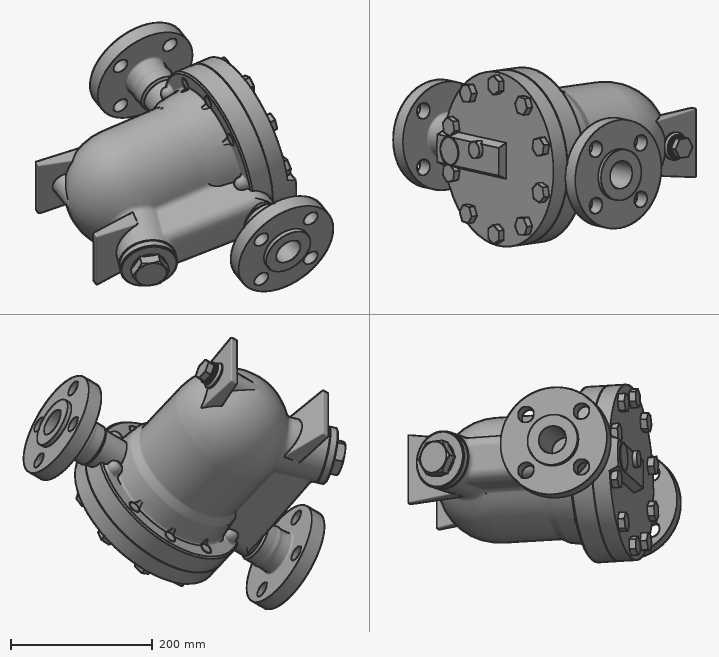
import cadquery as cq
import math


body_radius = 89.0
dome_center_y = -135.0
neck_top_radius = 99.5
neck_mid_radius = 96.8
neck_mid_y = -24.5
shoulder_start_radius = 95.8
shoulder_start_y = -31.3
shoulder_end_radius = 94.6
shoulder_end_y = -36.6
shoulder_round = 12.0
shoulder_foot_offset = 0.5
shoulder_foot_y = -47.0
shoulder_foot_fillet = 4.5
neck_end_y = -49.2
neck_fillet = 3.5

rim_radius = 125.0
flange_bottom_y = -1.5
joint_y = 31.5
cover_top_y = 57.5
rim_round = 2.5
joint_groove_width = 0.6
joint_groove_depth = 0.4

bolt_count = 10
bolt_circle_radius = 107.5
bolt_pitch = 360.0 / bolt_count
first_bolt_angle = bolt_pitch / 2
bolt_hole_diameter = 18.0
bolt_diameter = 16.0
bolt_head_flats = 24.0
bolt_head_height = 9.8
bolt_notch_end_y = -20.0
nut_boss_radius = 11.1
nut_boss_foot_fillet = 3.5
nut_boss_dome_y = -7.0
nut_boss_dome_round = 9.5

passage_left_x = -17.0
passage_top_y = 70.5
passage_top_half_width = 20.0
passage_base_half_width = 26.0
label_diameter = 40.0
label_x = 95.0
label_top_y = 72.0
cover_boss_diameter = 24.0
cover_boss_x = 32.0
cover_boss_z = 11.0
cover_boss_top_y = 77.0

pipe_mid_x = 7.5
pipe_half_length = 429.0 / 2
pipe_radius = 56.0 / 2
hub_radius = 62.0 / 2
hub_start = 140.5
hub_chamfer = 3.5
weld_start = 159.5
weld_end = 168.0
weld_height = 0.8
hub_taper_start = 172.5
hub_taper_rise = 1.0
flange_fillet = 3.0
flange_start = 185.5
flange_end = 208.0
pipe_flange_radius = 156.0 / 2
raised_face_radius = 73.0 / 2
bore_diameter = 40.0
bore_depth = pipe_half_length - hub_start
flange_hole_diameter = 23.0
flange_hole_count = 4
flange_hole_circle_radius = 57.5

web_half_width = 33.0
web_crown_y = -8.0
web_end_x = 147.5
web_lean = 2.2
web_low_y = -160.0
web_fillet = 7.0
shell_fillet = 10.0
seam_tolerance = 0.001
web_round = 16.0

chamber_tilt = 20.0
chamber_axis_y = -131.5
chamber_radius = 41.0
chamber_length = 143.5
holder_neck_radius = 40.2
holder_start = chamber_length + 1.0
holder_end = 156.0
holder_chamfer = 1.5
plug_flats = 46.0
plug_end = 172.0
plug_collar_radius = 49.5 / 2
plug_collar_height = 1.5
plug_face_radius = 22.5

foot_bottom_y = -244.0
foot_top_y = -165.0
foot_half_width_bottom = 50.0
foot_half_width_top = 39.0
foot_thickness_bottom = 10.5
foot_taper = 11.7
foot_round = 2.0
inlet_foot_x = -71.5
outlet_foot_x = 100.5

drain_y = -203.8
drain_boss_radius = 20.0
drain_boss_end_x = -73.3
drain_collar_radius = 17.0
drain_collar_end_x = -77.5
drain_washer_radius = 16.0
drain_washer_start_x = -80.5
drain_washer_end_x = -83.4
drain_shank_radius = 14.5
drain_head_flats = 27.0
drain_head_end_x = -93.6


def cylinder_y(radius, y_start, y_end, x=0.0, z=0.0):
    """Cylinder parallel to Y."""
    axis = cq.Vector(0, y_end - y_start, 0)
    solid = cq.Solid.makeCylinder(radius, axis.Length, cq.Vector(x, y_start, z), axis)
    return cq.Workplane(obj=solid)


def cylinder_x(radius, x_start, x_end, y=0.0):
    """Cylinder parallel to X in the plane Z = 0."""
    axis = cq.Vector(x_end - x_start, 0, 0)
    solid = cq.Solid.makeCylinder(radius, axis.Length, cq.Vector(x_start, y, 0), axis)
    return cq.Workplane(obj=solid)


def corner_diameter(flats):
    """Diameter across the corners of a hexagon."""
    return flats / math.cos(math.radians(30))


def join_with_fillet(first, second, radius):
    """Union of two solids with a fillet along the curves where their surfaces meet."""
    joined = first.union(second)
    surfaces = [first.val().Shells()[0], second.val().Shells()[0]]
    seam = []
    for edge in joined.edges().vals():
        middle = cq.Vertex.makeVertex(*edge.positionAt(0.5).toTuple())
        if all(surface.distance(middle) < seam_tolerance for surface in surfaces):
            seam.append(edge)
    return joined.newObject(seam).fillet(radius)


def make_shell():
    """Cylindrical shell with its hemispherical end, joined to the web and the valve chamber."""
    dome_mid = body_radius * math.sqrt(0.5)
    barrel = (
        cq.Workplane("XY")
        .lineTo(body_radius, 0)
        .lineTo(body_radius, dome_center_y)
        .threePointArc((dome_mid, dome_center_y - dome_mid), (0, dome_center_y - body_radius))
        .close()
        .revolve(360, (0, 0, 0), (0, 1, 0))
    )
    side = join_with_fillet(make_web(), make_chamber(), web_fillet)
    shell = join_with_fillet(barrel, side, shell_fillet)
    return shell.union(make_holder())


def make_neck():
    """Neck and bolting flange, turned about Y."""
    profile = (
        cq.Workplane("XY")
        .moveTo(0, joint_y)
        .lineTo(rim_radius, joint_y)
        .lineTo(rim_radius, flange_bottom_y + rim_round)
        .lineTo(rim_radius - rim_round, flange_bottom_y)
        .lineTo(neck_top_radius + neck_fillet, flange_bottom_y)
        .radiusArc((neck_top_radius, flange_bottom_y - neck_fillet), -neck_fillet)
        .lineTo(neck_mid_radius, neck_mid_y)
        .lineTo(shoulder_start_radius, shoulder_start_y)
        .radiusArc((shoulder_end_radius, shoulder_end_y), shoulder_round)
        .lineTo(body_radius + shoulder_foot_offset, shoulder_foot_y)
        .radiusArc((body_radius, neck_end_y), -shoulder_foot_fillet)
        .lineTo(0, neck_end_y)
        .close()
    )
    return profile.revolve(360, (0, 0, 0), (0, 1, 0))


def make_cover():
    """Flat cover with a fine groove marking the joint to the body."""
    cover = cylinder_y(rim_radius, joint_y, cover_top_y)
    groove_bottom = cylinder_y(rim_radius - joint_groove_depth, joint_y - 1, joint_y + joint_groove_width)
    ring = cylinder_y(rim_radius + 1, joint_y, joint_y + joint_groove_width).cut(groove_bottom)
    return cover.cut(ring)


def make_cover_passage():
    """Raised passage, round label seat and boss on the cover."""
    section = [
        (cover_top_y, -passage_base_half_width),
        (passage_top_y, -passage_top_half_width),
        (passage_top_y, passage_top_half_width),
        (cover_top_y, passage_base_half_width),
    ]
    passage = (
        cq.Workplane("YZ", origin=(passage_left_x, 0, 0))
        .polyline(section)
        .close()
        .extrude(rim_radius - passage_left_x)
        .intersect(cylinder_y(rim_radius, 0, passage_top_y))
    )
    label = cylinder_y(label_diameter / 2, cover_top_y, label_top_y, label_x)
    boss = cylinder_y(cover_boss_diameter / 2, cover_top_y, cover_boss_top_y, cover_boss_x, cover_boss_z)
    return passage.union(label).union(boss)


def bolt_positions():
    """Angle, X and Z of each cover bolt."""
    positions = []
    for index in range(bolt_count):
        angle = first_bolt_angle + index * bolt_pitch
        x = bolt_circle_radius * math.cos(math.radians(angle))
        z = bolt_circle_radius * math.sin(math.radians(angle))
        positions.append((angle, x, z))
    return positions


def is_beside_pipe(angle):
    """True for the four bolts next to the pipe ends."""
    return abs(math.cos(math.radians(angle))) > math.cos(math.radians(bolt_pitch))


def make_nut_boss():
    """Round domed boss with a filleted foot, turned about Y."""
    foot_radius = nut_boss_radius + nut_boss_foot_fillet
    dome_end = (nut_boss_radius - nut_boss_dome_round, nut_boss_dome_y - nut_boss_dome_round)
    return (
        cq.Workplane("XY")
        .moveTo(0, 0)
        .lineTo(foot_radius, 0)
        .lineTo(foot_radius, flange_bottom_y)
        .radiusArc((nut_boss_radius, flange_bottom_y - nut_boss_foot_fillet), -nut_boss_foot_fillet)
        .lineTo(nut_boss_radius, nut_boss_dome_y)
        .radiusArc(dome_end, nut_boss_dome_round)
        .lineTo(0, dome_end[1])
        .close()
        .revolve(360, (0, 0, 0), (0, 1, 0))
    )


def add_bolts(part):
    """Bolt heads; the shanks end flush in open holes or under closed round bosses."""
    for angle, x, z in bolt_positions():
        if is_beside_pipe(angle):
            part = part.union(make_nut_boss().translate((x, 0, z)))
        else:
            part = part.cut(cylinder_y(bolt_hole_diameter / 2, joint_y, bolt_notch_end_y, x, z))
            part = part.union(cylinder_y(bolt_diameter / 2, joint_y + 1, flange_bottom_y, x, z))
        head = (
            cq.Workplane("XZ", origin=(0, cover_top_y, 0))
            .polygon(6, corner_diameter(bolt_head_flats))
            .extrude(-bolt_head_height)
            .rotate((0, 0, 0), (0, 1, 0), -angle)
            .translate((x, 0, z))
        )
        part = part.union(head)
    return part


def make_pipe_end():
    """One welded pipe flange, turned about X and pointing to +X from the pipe middle."""
    taper_radius = hub_radius + hub_taper_rise
    weld_mid = (weld_start + weld_end) / 2
    profile = (
        cq.Workplane("XY")
        .moveTo(hub_start, 0)
        .lineTo(hub_start, pipe_radius)
        .lineTo(hub_start + hub_chamfer, hub_radius)
        .lineTo(weld_start, hub_radius)
        .threePointArc((weld_mid, hub_radius + weld_height), (weld_end, hub_radius))
        .lineTo(hub_taper_start, hub_radius)
        .lineTo(flange_start - flange_fillet, taper_radius)
        .radiusArc((flange_start, taper_radius + flange_fillet), -flange_fillet)
        .lineTo(flange_start, pipe_flange_radius)
        .lineTo(flange_end, pipe_flange_radius)
        .lineTo(flange_end, raised_face_radius)
        .lineTo(pipe_half_length, raised_face_radius)
        .lineTo(pipe_half_length, 0)
        .close()
    )
    end = profile.revolve(360, (0, 0, 0), (1, 0, 0))
    holes = (
        cq.Workplane("YZ", origin=(flange_start - 1, 0, 0))
        .polarArray(flange_hole_circle_radius, 180 / flange_hole_count, 360, flange_hole_count)
        .circle(flange_hole_diameter / 2)
        .extrude(flange_end - flange_start + 2)
    )
    bore = cylinder_x(bore_diameter / 2, pipe_half_length - bore_depth, pipe_half_length)
    return end.cut(holes).cut(bore)


def add_pipe(part):
    """Straight pipe stubs and the two mirrored flanged ends."""
    end = make_pipe_end()
    for side in (-1, 1):
        stub = cylinder_x(pipe_radius, pipe_mid_x + side * hub_start, side * body_radius / 2)
        flanged = end if side > 0 else end.mirror("YZ")
        part = part.union(stub).union(flanged.translate((pipe_mid_x, 0, 0)))
    return part


def make_web():
    """Web with a half-round crown and rounded outer corners, leaning slightly inwards at the bottom."""
    crowned = (
        cq.Workplane("YZ")
        .moveTo(web_low_y, -web_half_width)
        .lineTo(web_crown_y, -web_half_width)
        .threePointArc((web_crown_y + web_half_width, 0), (web_crown_y, web_half_width))
        .lineTo(web_low_y, web_half_width)
        .close()
        .extrude(web_end_x)
    )
    rounded = (
        cq.Workplane("XY")
        .box(2 * web_end_x, 2 * pipe_half_length, 2 * web_half_width)
        .edges("|Y")
        .fillet(web_round)
    )
    pivot_start = (web_end_x, web_crown_y, 0)
    pivot_end = (web_end_x, web_crown_y, 1)
    return crowned.intersect(rounded).rotate(pivot_start, pivot_end, -web_lean)


def tilt_to_chamber_axis(part):
    """Turn a part built along X onto the inclined axis of the valve chamber."""
    return part.rotate((0, 0, 0), (0, 0, 1), -chamber_tilt).translate((0, chamber_axis_y, 0))


def make_chamber():
    """Inclined cylindrical valve chamber."""
    return tilt_to_chamber_axis(cylinder_x(chamber_radius, 0, chamber_length))


def make_holder():
    """Seat holder with its collar and hexagon plug at the end of the chamber."""
    collar = cylinder_x(plug_collar_radius, holder_end, holder_end + plug_collar_height)
    neck = cylinder_x(holder_neck_radius, chamber_length - 1, holder_end - holder_chamfer)
    holder = cylinder_x(chamber_radius, holder_start, holder_end).faces(">X").chamfer(holder_chamfer)
    corner = corner_diameter(plug_flats)
    hexagon = (
        cq.Workplane("YZ", origin=(holder_end, 0, 0))
        .polygon(6, corner)
        .extrude(plug_end - holder_end)
    )
    plug_rise = (corner / 2 - plug_face_radius) * math.tan(math.radians(30))
    trim = (
        cylinder_x(corner / 2, holder_end, plug_end)
        .faces(">X")
        .chamfer(plug_rise, corner / 2 - plug_face_radius)
    )
    plug = hexagon.intersect(trim)
    return tilt_to_chamber_axis(neck.union(holder).union(collar).union(plug))


def make_foot():
    """Foot with its flat outer face at X = 0, thickening towards the body at +X."""
    height = foot_top_y - foot_bottom_y
    thickness_top = foot_thickness_bottom + height * math.tan(math.radians(foot_taper))
    side = (
        cq.Workplane("XY")
        .polyline([
            (0, foot_bottom_y),
            (foot_thickness_bottom, foot_bottom_y),
            (thickness_top, foot_top_y),
            (0, foot_top_y),
        ])
        .close()
        .extrude(foot_half_width_bottom, both=True)
    )
    front = (
        cq.Workplane("YZ")
        .polyline([
            (foot_bottom_y, -foot_half_width_bottom),
            (foot_bottom_y, foot_half_width_bottom),
            (foot_top_y, foot_half_width_top),
            (foot_top_y, -foot_half_width_top),
        ])
        .close()
        .extrude(thickness_top)
    )
    return side.intersect(front).edges("not >Y").fillet(foot_round)


def make_drain():
    """Drain boss along X with washer and hexagon plug at its outer end."""
    boss = cylinder_x(drain_boss_radius, drain_boss_end_x, 0, drain_y)
    collar = (
        cq.Workplane("YZ", origin=(drain_boss_end_x, drain_y, 0))
        .circle(drain_boss_radius)
        .workplane(offset=drain_collar_end_x - drain_boss_end_x)
        .circle(drain_collar_radius)
        .loft()
    )
    shank = cylinder_x(drain_shank_radius, drain_collar_end_x, drain_washer_start_x, drain_y)
    washer = cylinder_x(drain_washer_radius, drain_washer_start_x, drain_washer_end_x, drain_y)
    head = (
        cq.Workplane("YZ", origin=(drain_washer_end_x, drain_y, 0))
        .polygon(6, corner_diameter(drain_head_flats))
        .extrude(drain_head_end_x - drain_washer_end_x)
    )
    return boss.union(collar).union(shank).union(washer).union(head)


foot = make_foot()
result = make_shell().union(make_neck()).union(make_cover()).union(make_cover_passage())
result = add_pipe(result)
result = add_bolts(result)
result = result.union(foot.translate((inlet_foot_x, 0, 0)))
result = result.union(foot.mirror("YZ").translate((outlet_foot_x, 0, 0)))
result = result.union(make_drain())